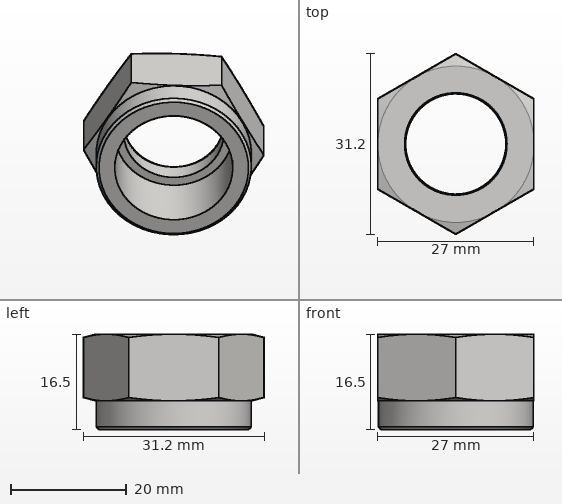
import cadquery as cq
import math

across_flats = 27.0
hex_sides = 6
across_corners = across_flats / math.cos(math.pi / hex_sides)
hex_height = 11.5
hex_chamfer_angle = 15.0
corner_direction = 90.0

collar_diameter = 26.8
collar_height = 5.0
collar_chamfer = 0.5

total_height = collar_height + hex_height

bore_diameter = 17.3
bore_length = 4.0
bore_chamfer = 0.2
counterbore_diameter = 20.38
counterbore_depth = total_height - bore_length


def make_hexagon():
    """Hexagonal prism, corners on the Y axis, with both ends turned to a cone."""
    prism = (
        cq.Workplane("XY")
        .workplane(offset=collar_height)
        .polygon(hex_sides, across_corners)
        .extrude(hex_height)
        .rotate((0, 0, 0), (0, 0, 1), corner_direction)
    )
    flat_radius = across_flats / 2
    corner_radius = across_corners / 2
    corner_drop = (corner_radius - flat_radius) * math.tan(math.radians(hex_chamfer_angle))
    turned_envelope = (
        cq.Workplane("XZ")
        .moveTo(0, collar_height)
        .lineTo(flat_radius, collar_height)
        .lineTo(corner_radius, collar_height + corner_drop)
        .lineTo(corner_radius, total_height - corner_drop)
        .lineTo(flat_radius, total_height)
        .lineTo(0, total_height)
        .close()
        .revolve(360, (0, 0, 0), (0, 1, 0))
    )
    return prism.intersect(turned_envelope)


def make_collar():
    """Cylindrical collar, chamfered at its lower edge."""
    return (
        cq.Workplane("XY")
        .circle(collar_diameter / 2)
        .extrude(collar_height)
        .faces("<Z")
        .edges()
        .chamfer(collar_chamfer)
    )


def make_bore():
    """Stepped through opening: wide from below, narrow and chamfered at the top."""
    narrow_radius = bore_diameter / 2
    wide_radius = counterbore_diameter / 2
    return (
        cq.Workplane("XZ")
        .lineTo(wide_radius, 0)
        .lineTo(wide_radius, counterbore_depth)
        .lineTo(narrow_radius, counterbore_depth)
        .lineTo(narrow_radius, total_height - bore_chamfer)
        .lineTo(narrow_radius + bore_chamfer, total_height)
        .lineTo(0, total_height)
        .close()
        .revolve(360, (0, 0, 0), (0, 1, 0))
    )


result = make_hexagon().union(make_collar()).cut(make_bore())